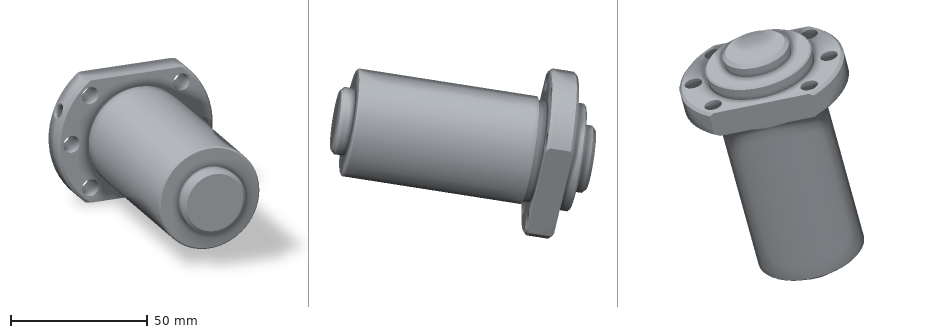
import cadquery as cq
import math

shaft_length = 95.0
shaft_diameter = 20.0
head_diameter = 25.0
head_chamfer = 1.3
head_gap = 0.2

shaft_projection = 5.0
housing_diameter = 40.0
housing_chamfer = 0.6
housing_start = shaft_projection
housing_end = shaft_length - shaft_projection

flange_start = 10.0
flange_thickness = 10.0
flange_diameter = 61.9
flange_height = 48.0
flange_chamfer = 1.0
flange_end = flange_start + flange_thickness

relief_width = 3.0
relief_diameter = 37.6

mount_hole_diameter = 6.6
mount_circle_radius = 25.6
mount_hole_angles = (-45, 0, 45, 135, 180, 225)

lube_hole_diameter = 4.9
lube_mouth_diameter = 6.0
lube_hole_tilt = 22.5


def cylinder_x(diameter, start, end):
    """Solid cylinder on the X axis between two X positions."""
    return cq.Workplane("YZ", origin=(start, 0, 0)).circle(diameter / 2).extrude(end - start)


def make_shaft():
    shaft = cylinder_x(shaft_diameter, 0, shaft_length)
    head_length = shaft_projection - head_gap
    for start in (0, shaft_length - head_length):
        shaft = shaft.union(cylinder_x(head_diameter, start, start + head_length))
    return shaft.faces("<X or >X").chamfer(head_chamfer)


def make_flange():
    disc = cylinder_x(flange_diameter, flange_start, flange_end)
    disc = disc.faces("<X or >X").chamfer(flange_chamfer)
    flats = cq.Workplane("XY").box(2 * flange_end, flange_diameter, flange_height)
    return disc.intersect(flats)


def make_mount_holes():
    holes = cq.Workplane("YZ", origin=(flange_start, 0, 0))
    centers = [
        (
            mount_circle_radius * math.cos(math.radians(angle)),
            mount_circle_radius * math.sin(math.radians(angle)),
        )
        for angle in mount_hole_angles
    ]
    return holes.pushPoints(centers).circle(mount_hole_diameter / 2).extrude(flange_thickness)


def make_lube_hole():
    """Countersunk hole from the flange rim inward to the shaft bore."""
    tilt = math.radians(lube_hole_tilt)
    center_x = flange_start + flange_thickness / 2
    axis = cq.Vector(0, -math.cos(tilt), math.sin(tilt))
    origin = cq.Vector(center_x, 0, 0)
    rim = origin + axis * (flange_diameter / 2)
    drill = cq.Solid.makeCylinder(lube_hole_diameter / 2, flange_diameter / 2, origin, axis)
    countersink_depth = (lube_mouth_diameter - lube_hole_diameter) / 2
    countersink = cq.Solid.makeCone(
        lube_mouth_diameter / 2, lube_hole_diameter / 2, countersink_depth, rim, -axis
    )
    return drill.fuse(countersink)


def make_housing():
    sleeve = cylinder_x(housing_diameter, housing_start, housing_end)
    sleeve = sleeve.faces("<X or >X").chamfer(housing_chamfer)

    relief_end = flange_end + relief_width
    relief = cylinder_x(housing_diameter, flange_end, relief_end)
    relief = relief.cut(cylinder_x(relief_diameter, flange_end, relief_end))

    housing = sleeve.cut(relief).union(make_flange())
    housing = housing.cut(make_mount_holes())
    housing = housing.cut(cq.Workplane(make_lube_hole()))
    return housing.cut(cylinder_x(shaft_diameter, housing_start, housing_end))


shaft = make_shaft()
housing = make_housing()

result = cq.Compound.makeCompound([shaft.val(), *housing.vals()])